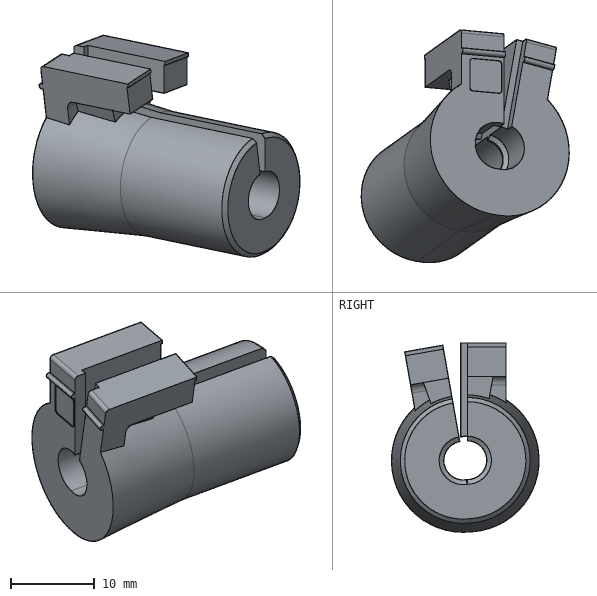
import cadquery as cq
import math


body_length = 27.85
barrel_radius = 7.5
taper_length = 12.27
taper_angle = 5.0
rear_chamfer = 0.5
front_radius = barrel_radius + taper_length * math.tan(math.radians(taper_angle))

bore_radius = 2.87
ridge_radius = 2.3
ridge_centre_x = 6.0
ridge_base_width = 0.97
ridge_crest_width = 0.25

opening_angle = 10.0

wing_width = 4.63
wing_top = 14.0
wing_length = 13.0
wing_edge_radius = 0.48
flange_thickness = 0.48
flange_overhang = 0.2
leg_length = 3.4
leg_fillet = 1.0
underside_height = 10.0
wing_foot = 5.68

web_end_x = 8.8
web_top_width = 3.07
web_draft = 10.0

rib_height = 11.27
rib_thickness = 0.68
rib_protrusion = 0.55

lip_depth = 0.8
lip_length = 1.5

panel_size = 4.0
panel_centre_y = 1.5
panel_centre_z = 8.5
panel_radius = 0.37
panel_depth = 0.1


def box(x_range, y_range, z_range):
    """Block spanning the given (low, high) limits."""
    spans = [high - low for low, high in (x_range, y_range, z_range)]
    return cq.Workplane("XY").box(*spans, centered=False).translate((x_range[0], y_range[0], z_range[0]))


def half_body():
    """Half (+Y) of the tapered body."""
    profile = [
        (0, 0),
        (0, front_radius),
        (taper_length, barrel_radius),
        (body_length - rear_chamfer, barrel_radius),
        (body_length, barrel_radius - rear_chamfer),
        (body_length, 0),
    ]
    whole = cq.Workplane("XY").polyline(profile).close().revolve(360, (0, 0, 0), (1, 0, 0))
    return whole.intersect(box((0, body_length), (0, front_radius), (-front_radius, front_radius)))


def bore_space():
    """Solid filling the bore, necked at the ridge."""
    half_base = ridge_base_width / 2
    half_crest = ridge_crest_width / 2
    profile = [
        (0, 0),
        (0, bore_radius),
        (ridge_centre_x - half_base, bore_radius),
        (ridge_centre_x - half_crest, ridge_radius),
        (ridge_centre_x + half_crest, ridge_radius),
        (ridge_centre_x + half_base, bore_radius),
        (body_length, bore_radius),
        (body_length, 0),
    ]
    return cq.Workplane("XY").polyline(profile).close().revolve(360, (0, 0, 0), (1, 0, 0))


def wing(inner_y):
    """Wing from inner_y to its outer side: leg, cantilever and overhanging top flange."""
    lower_end = wing_length - flange_overhang
    flange_bottom = wing_top - flange_thickness
    outline = (
        cq.Workplane("XZ", origin=(0, inner_y, 0))
        .moveTo(0, wing_foot)
        .lineTo(0, wing_top - wing_edge_radius)
        .radiusArc((wing_edge_radius, wing_top), wing_edge_radius)
        .lineTo(wing_length, wing_top)
        .lineTo(wing_length, flange_bottom)
        .lineTo(lower_end, flange_bottom)
        .lineTo(lower_end, underside_height)
        .lineTo(leg_length + leg_fillet, underside_height)
        .radiusArc((leg_length, underside_height - leg_fillet), -leg_fillet)
        .lineTo(leg_length, wing_foot)
        .close()
    )
    return outline.extrude(inner_y - wing_width)


def web():
    """Web under the cantilever, widening upwards."""
    foot_width = web_top_width - (underside_height - wing_foot) * math.tan(math.radians(web_draft))
    section = [(0, wing_foot), (foot_width, wing_foot), (web_top_width, underside_height), (0, underside_height)]
    return cq.Workplane("YZ").polyline(section).close().extrude(web_end_x)


def rib(inner_y):
    """Rib with a half-round nose, from inner_y to the outer side of the wing."""
    nose_radius = rib_thickness / 2
    shoulder_x = nose_radius - rib_protrusion
    outline = (
        cq.Workplane("XZ", origin=(0, inner_y, 0))
        .moveTo(0, rib_height - nose_radius)
        .lineTo(shoulder_x, rib_height - nose_radius)
        .threePointArc((-rib_protrusion, rib_height), (shoulder_x, rib_height + nose_radius))
        .lineTo(0, rib_height + nose_radius)
        .close()
    )
    return outline.extrude(inner_y - wing_width)


def front_strip(side):
    """Strip for lip or recess beside the split plane, on its +Y (side = 1) or -Y (side = -1) side."""
    y_range = sorted((0, side * lip_depth))
    return box((0, lip_length), y_range, (0, wing_top))


def label_panel():
    """Rounded square sunk into the front face."""
    return (
        cq.Workplane("YZ", origin=(0, panel_centre_y, panel_centre_z))
        .rect(panel_size, panel_size)
        .extrude(panel_depth)
        .edges("|X")
        .fillet(panel_radius)
    )


def plain_half():
    """Features shared by both halves, on the +Y side."""
    return half_body().union(wing(0)).union(web())


def fixed_half():
    """Upright half, with the lip reaching across the split plane."""
    front_lip = front_strip(-1).faces("<X").edges(">Z").fillet(wing_edge_radius)
    half = plain_half().union(front_lip).union(rib(-lip_depth))
    return half.cut(bore_space()).cut(label_panel())


def moving_half():
    """Mirrored half, recessed for the lip and swung open about the bottom of the bore."""
    half = plain_half().cut(front_strip(1)).union(rib(lip_depth)).cut(bore_space())
    hinge_start = (0, 0, -bore_radius)
    hinge_end = (1, 0, -bore_radius)
    return half.mirror("XZ").rotate(hinge_start, hinge_end, opening_angle)


result = fixed_half().union(moving_half())